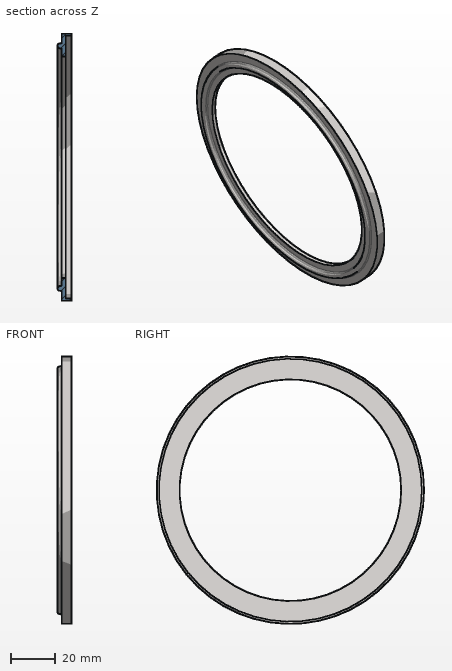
import cadquery as cq

outer_diameter = 121.2
bore_diameter = 100.2
total_depth = 6.4
ring_depth = 4.5

web_thickness = 1.9
recess_diameter = 119.0

bead_inner_diameter = 107.6
bead_outer_diameter = 112.4
bead_height = total_depth - ring_depth
bead_inner_radius = bead_inner_diameter / 2
bead_outer_radius = bead_outer_diameter / 2
bead_mid_radius = (bead_inner_radius + bead_outer_radius) / 2
crown_radius = (bead_outer_radius - bead_inner_radius) / 2

foot_radius = 0.5
foot_diagonal = foot_radius * 2 ** -0.5

face_x = 0.0
web_back_x = face_x + web_thickness
ring_back_x = face_x + ring_depth
crown_x = face_x - bead_height
crown_base_x = crown_x + crown_radius
foot_top_x = face_x - foot_radius
foot_mid_x = foot_top_x + foot_diagonal
inner_foot_radius = bead_inner_radius - foot_radius
outer_foot_radius = bead_outer_radius + foot_radius

section = (
    cq.Workplane("XY")
    .moveTo(face_x, bore_diameter / 2)
    .lineTo(face_x, inner_foot_radius)
    .threePointArc(
        (foot_mid_x, inner_foot_radius + foot_diagonal),
        (foot_top_x, bead_inner_radius),
    )
    .lineTo(crown_base_x, bead_inner_radius)
    .threePointArc((crown_x, bead_mid_radius), (crown_base_x, bead_outer_radius))
    .lineTo(foot_top_x, bead_outer_radius)
    .threePointArc(
        (foot_mid_x, outer_foot_radius - foot_diagonal),
        (face_x, outer_foot_radius),
    )
    .lineTo(face_x, outer_diameter / 2)
    .lineTo(ring_back_x, outer_diameter / 2)
    .lineTo(ring_back_x, recess_diameter / 2)
    .lineTo(web_back_x, recess_diameter / 2)
    .lineTo(web_back_x, bore_diameter / 2)
    .close()
)

result = section.revolve(360, (0, 0, 0), (1, 0, 0))